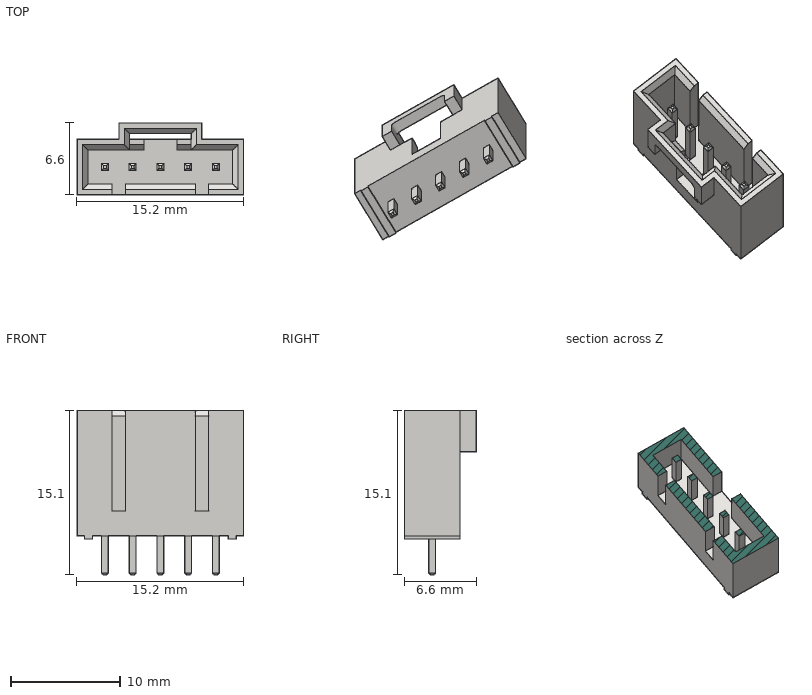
import cadquery as cq

LENGTH = 15.25
WIDTH = 5.1
HEIGHT = 11.5
WALL = 1.0
FLOOR = 2.3
LEAD_IN = 0.5

KEY_LENGTH = 7.62
KEY_DEPTH = 1.5
KEY_HEIGHT = 3.8
KEY_BAND = 1.45
KEY_CORNER = 0.5

REAR_SLOT = 3.0
FRONT_SLOT = 1.22
FRONT_SLOT_OFFSET = 3.82

FOOT_LENGTH = 0.75
FOOT_HEIGHT = 0.3
FOOT_OFFSET = 6.58

PIN_COUNT = 5
PIN_PITCH = 2.54
PIN_SIZE = 0.64
PIN_BELOW = 3.6
PIN_TOP = 8.5
TIP_SIZE = 0.24
TIP_HEIGHT = 0.2

FRONT_Y = -WIDTH / 2
REAR_Y = WIDTH / 2
KEY_BASE = HEIGHT - KEY_HEIGHT
KEY_INNER = KEY_LENGTH - 2 * WALL


def block(x_size, y_min, y_max, z_min, z_max, x_center=0.0):
    """Box centred on x_center, given by its limits in y and z."""
    box = cq.Workplane("XY").box(x_size, y_max - y_min, z_max - z_min, centered=(True, False, False))
    return box.translate((x_center, y_min, z_min))


def rim_points(inset):
    """Corners of the outline of housing and key together, moved inwards by inset."""
    half_length = LENGTH / 2 - inset
    half_key = KEY_LENGTH / 2 - inset
    front = FRONT_Y + inset
    rear = REAR_Y - inset
    key_rear = rear + KEY_DEPTH
    return [
        (-half_length, front),
        (half_length, front),
        (half_length, rear),
        (half_key, rear),
        (half_key, key_rear),
        (-half_key, key_rear),
        (-half_key, rear),
        (-half_length, rear),
    ]


def rim_lead_in():
    """Tapered plug that chamfers the inside of the rim, with mitred corners."""
    return (
        cq.Workplane("XY").workplane(offset=HEIGHT - LEAD_IN)
        .polyline(rim_points(WALL)).close()
        .workplane(offset=LEAD_IN)
        .polyline(rim_points(WALL - LEAD_IN)).close()
        .loft(ruled=True)
    )


def key_prism(inset):
    """Prism over the height of the key, with the outline moved inwards by inset."""
    base = cq.Workplane("XY").workplane(offset=KEY_BASE)
    return base.polyline(rim_points(inset)).close().extrude(KEY_HEIGHT)


def shell():
    """Housing and key as one open box, with the lead-in around the rim."""
    body = block(LENGTH, FRONT_Y, REAR_Y, 0, HEIGHT)
    body = body.union(key_prism(0))
    body = body.cut(block(LENGTH - 2 * WALL, FRONT_Y + WALL, REAR_Y - WALL, FLOOR, HEIGHT))
    body = body.cut(key_prism(WALL))
    return body.cut(rim_lead_in())


def key_window():
    """Passage through the key below its bar, round in its upper corners."""
    window = block(KEY_INNER, REAR_Y, REAR_Y + KEY_DEPTH, KEY_BASE, HEIGHT - KEY_BAND)
    return window.edges("|Y and >Z").fillet(KEY_CORNER)


def rear_wall_lead_in():
    """Chamfer on the inner top edge of the rear wall stubs below the key."""
    inner = REAR_Y - WALL
    return (
        cq.Workplane("YZ")
        .polyline([(inner, KEY_BASE), (inner + LEAD_IN, KEY_BASE), (inner, KEY_BASE - LEAD_IN)])
        .close()
        .extrude(KEY_INNER / 2, both=True)
    )


def pin_tip(z, direction):
    """Tapered pin end that starts at z and points up (1) or down (-1)."""
    return (
        cq.Workplane("XY").workplane(offset=z).rect(PIN_SIZE, PIN_SIZE)
        .workplane(offset=direction * TIP_HEIGHT).rect(TIP_SIZE, TIP_SIZE)
        .loft(ruled=True)
    )


def pin():
    """Straight square pin through the floor, tapered at both ends."""
    shank_bottom = TIP_HEIGHT - PIN_BELOW
    shank_top = PIN_TOP - TIP_HEIGHT
    shank = block(PIN_SIZE, -PIN_SIZE / 2, PIN_SIZE / 2, shank_bottom, shank_top)
    return shank.union(pin_tip(shank_bottom, -1)).union(pin_tip(shank_top, 1))


result = shell().cut(key_window()).cut(rear_wall_lead_in())
result = result.cut(block(REAR_SLOT, REAR_Y - WALL, REAR_Y, FLOOR, HEIGHT))

for side in (-1, 1):
    result = result.cut(
        block(FRONT_SLOT, FRONT_Y, FRONT_Y + WALL, FLOOR, HEIGHT, side * FRONT_SLOT_OFFSET)
    )
    result = result.union(block(FOOT_LENGTH, FRONT_Y, REAR_Y, -FOOT_HEIGHT, 0, side * FOOT_OFFSET))

for index in range(PIN_COUNT):
    pin_x = (index - (PIN_COUNT - 1) / 2) * PIN_PITCH
    result = result.union(pin().translate((pin_x, 0, 0)))